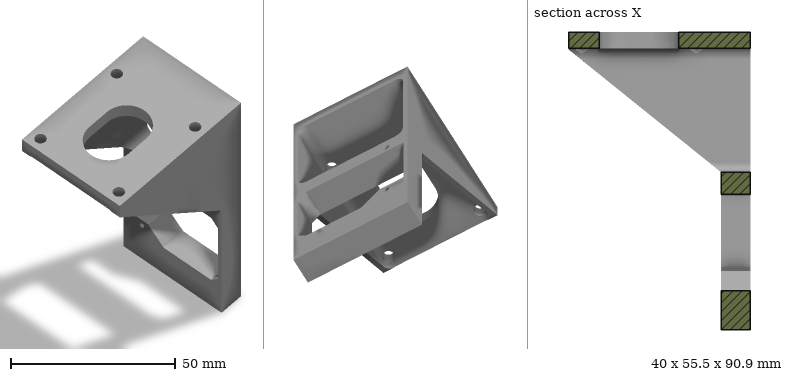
import cadquery as cq

width = 40.0
depth = 55.5
height = 90.9

wall_thickness = 8.9
tip_thickness = 5.4
gusset_base_z = 48.1

side_thickness = 1.6
upper_window_bottom = 48.2
upper_window_top = 85.9
upper_window_radius = 3.0

lower_left = 1.4
lower_right = 38.6
lower_bottom = 12.1
lower_top = 41.3
corner_cut = 2.9
step_z = 18.1
step_end_x = 9.9
ramp_end_x = 16.4
lower_window_radius = 0.5

screw_hole_diameter = 2.0
screw_hole_x = 7.4
screw_hole_heights = (15.6, 43.7)

mount_hole_diameter = 3.8
mount_hole_inset = 4.0
mount_hole_pitch_y = 34.9
slot_width = 16.0
slot_length = 24.1
slot_center_y = 21.5


def cut_along_y(outline):
    """Extrude an XZ outline through the full depth."""
    return outline.extrude(-depth)


def bracket_body():
    """Wall, sloping gusset and top plate as one side profile."""
    profile = [
        (depth, 0),
        (depth, height),
        (0, height),
        (0, height - tip_thickness),
        (depth - wall_thickness, gusset_base_z),
        (depth - wall_thickness, 0),
    ]
    return cq.Workplane("YZ").polyline(profile).close().extrude(width)


def upper_window():
    """Rounded opening between the gusset sides, through the wall."""
    center_z = (upper_window_bottom + upper_window_top) / 2
    outline = cq.Workplane("XZ").center(width / 2, center_z).rect(
        width - 2 * side_thickness, upper_window_top - upper_window_bottom
    )
    return cut_along_y(outline).edges("|Y").fillet(upper_window_radius)


def lower_window():
    """Opening with two cut corners and a raised step at the lower left."""
    points = [
        (lower_left, lower_top),
        (lower_right - corner_cut, lower_top),
        (lower_right, lower_top - corner_cut),
        (lower_right, lower_bottom + corner_cut),
        (lower_right - corner_cut, lower_bottom),
        (ramp_end_x, lower_bottom),
        (step_end_x, step_z),
        (lower_left, step_z),
    ]
    outline = cq.Workplane("XZ").polyline(points).close()
    return cut_along_y(outline).edges("|Y").fillet(lower_window_radius)


def screw_holes():
    """Pair of small holes through the wall."""
    centers = [(screw_hole_x, z) for z in screw_hole_heights]
    outline = cq.Workplane("XZ").pushPoints(centers).circle(screw_hole_diameter / 2)
    return cut_along_y(outline)


def top_plate_openings():
    """Four mounting holes and a central slot, through the top plate only."""
    centers = [
        (x, y)
        for x in (mount_hole_inset, width - mount_hole_inset)
        for y in (mount_hole_inset, mount_hole_inset + mount_hole_pitch_y)
    ]
    plate_base = cq.Workplane("XY", origin=(0, 0, gusset_base_z))
    cut_height = height - gusset_base_z
    holes = plate_base.pushPoints(centers).circle(mount_hole_diameter / 2).extrude(cut_height)
    slot = plate_base.center(width / 2, slot_center_y).slot2D(slot_length, slot_width, 90)
    return holes.union(slot.extrude(cut_height))


result = (
    bracket_body()
    .cut(upper_window())
    .cut(lower_window())
    .cut(screw_holes())
    .cut(top_plate_openings())
)